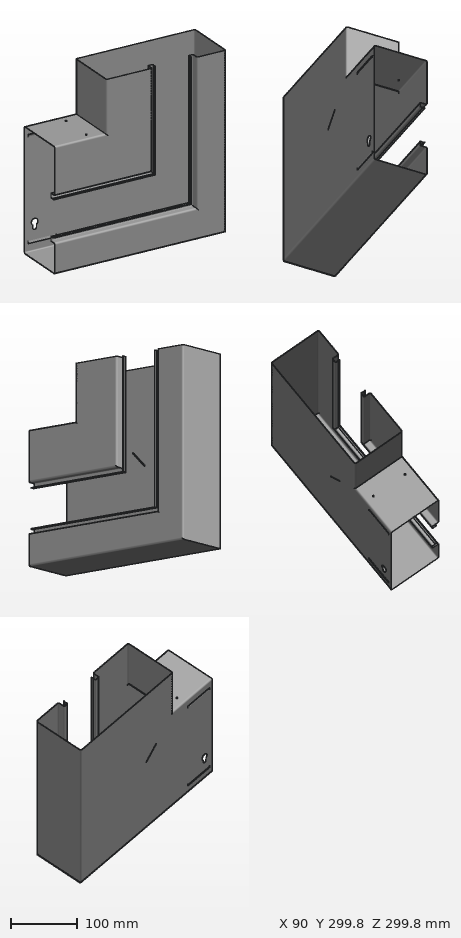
import cadquery as cq

WIDTH = 90.0
LENGTH = 299.8
LEG = 210.0
SHEET = 1.0
BEND = 3.0

OPENING_START = 51.0
OPENING_END = 129.0
LIP_DEPTH = 12.5
LIP_RISE = 8.0
LIP_FOOT = 2 * BEND
HOOK_BEND = 1.8
RETURN_END = 4.2
KINK_POSITION = 7.0
KINK_DEPTH = 1.0

TAB_LENGTH = 49.8
TAB_START = 6.3
TAB_HEIGHT = 4.0
TAB_EDGE = 15.3
TAB_PRESS = 2 * SHEET

KEY_Y = 18.0
KEY_Z = 48.3
KEY_DIAMETER = 11.5
KEY_SLOT_WIDTH = 6.5
KEY_BOTTOM = 36.0

GROOVE_LENGTH = 33.0
GROOVE_WIDTH = 1.8
GROOVE_DEPTH = 0.3
GROOVE_Y = 139.7

PILOT_DIAMETER = 2.5
PILOT_Y = 64.2
PILOT_EDGE = 15.3

OVERSHOOT = 3.0
CUT_DEPTH = 2 * SHEET


def box(x, y, z):
    """Axis-aligned box from three (start, end) ranges."""
    size = [end - start for start, end in (x, y, z)]
    return cq.Workplane("XY").box(*size, centered=False).translate((x[0], y[0], z[0]))


def wall_tube():
    """Closed rectangular tube with rounded long bends, along Y."""
    outer = box((0, WIDTH), (0, LENGTH), (0, LEG)).edges("|Y").fillet(BEND)
    inner = box(
        (SHEET, WIDTH - SHEET), (0, LENGTH), (SHEET, LEG - SHEET)
    ).edges("|Y").fillet(BEND - SHEET)
    return outer.cut(inner)


def lip(edge, into):
    """Hooked lip along an opening edge at height `edge`; `into` is +1 or -1 toward the opening."""
    back = WIDTH - LIP_DEPTH
    free = WIDTH - RETURN_END
    kink = WIDTH - KINK_POSITION
    top = edge + into * LIP_RISE
    dip = top - into * KINK_DEPTH
    inset = into * SHEET
    foot = edge - into * LIP_FOOT
    outline = [
        (WIDTH, foot),
        (WIDTH, edge),
        (back + SHEET, edge),
        (back + SHEET, top - inset),
        (kink, dip - inset),
        (free, top - inset),
        (free, top),
        (kink, dip),
        (back, top),
        (back, edge - inset),
        (WIDTH - SHEET, edge - inset),
        (WIDTH - SHEET, foot),
    ]
    hook = cq.Workplane("XZ").polyline(outline).close().extrude(-LENGTH)
    bends = [
        ((WIDTH, edge), BEND),
        ((WIDTH - SHEET, edge - inset), BEND - SHEET),
        ((back, edge - inset), HOOK_BEND),
        ((back + SHEET, edge), HOOK_BEND - SHEET),
        ((back, top), HOOK_BEND),
        ((back + SHEET, top - inset), HOOK_BEND - SHEET),
    ]
    for (x, z), radius in bends:
        corner = cq.selectors.NearestToPointSelector((x, LENGTH / 2, z))
        hook = hook.edges(corner).fillet(radius)
    return hook


def trunking():
    """Straight trunking along Y with its lipped cover opening in the +X wall."""
    opening = box(
        (WIDTH - BEND, WIDTH + OVERSHOOT),
        (0, LENGTH),
        (OPENING_START - LIP_FOOT, OPENING_END + LIP_FOOT),
    )
    return wall_tube().cut(opening).union(lip(OPENING_START, 1)).union(lip(OPENING_END, -1))


def mitred_leg():
    """Trunking along Y cut at 45 degrees through the inner and outer corners."""
    keep = (
        cq.Workplane("YZ")
        .polyline([(0, 0), (LENGTH, 0), (LENGTH - LEG, LEG), (0, LEG)])
        .close().extrude(WIDTH)
    )
    return trunking().intersect(keep)


def upright_leg(leg):
    """Mirror the horizontal leg across the mitre plane y + z = LENGTH."""
    return leg.mirror(cq.Vector(0, 1, 1), (0, LENGTH, 0))


def lanced_tab(edge, into):
    """Slot cutter and slanted tab; `edge` is the slot side nearest the leg's long edge."""
    hinge = edge + into * TAB_HEIGHT
    y_range = (TAB_START, TAB_START + TAB_LENGTH)
    slot = box((-OVERSHOOT, SHEET), y_range, sorted((edge, hinge)))
    outline = [(0, hinge), (SHEET, hinge), (TAB_PRESS, edge), (TAB_PRESS - SHEET, edge)]
    tab = (
        cq.Workplane("XZ", origin=(0, TAB_START, 0))
        .polyline(outline).close().extrude(-TAB_LENGTH)
    )
    return slot, tab


def keyhole():
    """Cutter for the keyhole: round head above a narrower round-ended slot."""
    half_width = KEY_SLOT_WIDTH / 2
    slot_end = KEY_BOTTOM + half_width
    head = cq.Workplane("YZ").center(KEY_Y, KEY_Z).circle(KEY_DIAMETER / 2).extrude(CUT_DEPTH)
    foot = cq.Workplane("YZ").center(KEY_Y, slot_end).circle(half_width).extrude(CUT_DEPTH)
    neck = box((0, CUT_DEPTH), (KEY_Y - half_width, KEY_Y + half_width), (slot_end, KEY_Z))
    return head.union(foot).union(neck)


def pilot_holes():
    """Cutter for the two small holes through the inner wall."""
    return (
        cq.Workplane("XY", origin=(0, 0, LEG - CUT_DEPTH))
        .pushPoints([(PILOT_EDGE, PILOT_Y), (WIDTH - PILOT_EDGE, PILOT_Y)])
        .circle(PILOT_DIAMETER / 2).extrude(CUT_DEPTH)
    )


def seam_groove():
    """Cutter for the shallow groove along the mitre seam, which runs down toward +Y at 45 degrees."""
    return (
        cq.Workplane("YZ").center(GROOVE_Y, LENGTH - GROOVE_Y)
        .slot2D(GROOVE_LENGTH, GROOVE_WIDTH, -45).extrude(GROOVE_DEPTH)
    )


horizontal = mitred_leg()
result = horizontal.union(upright_leg(horizontal))
for slot_edge, direction in ((TAB_EDGE, 1), (LEG - TAB_EDGE, -1)):
    tab_slot, tab_body = lanced_tab(slot_edge, direction)
    result = result.cut(tab_slot).union(tab_body)
result = result.cut(keyhole()).cut(pilot_holes()).cut(seam_groove())